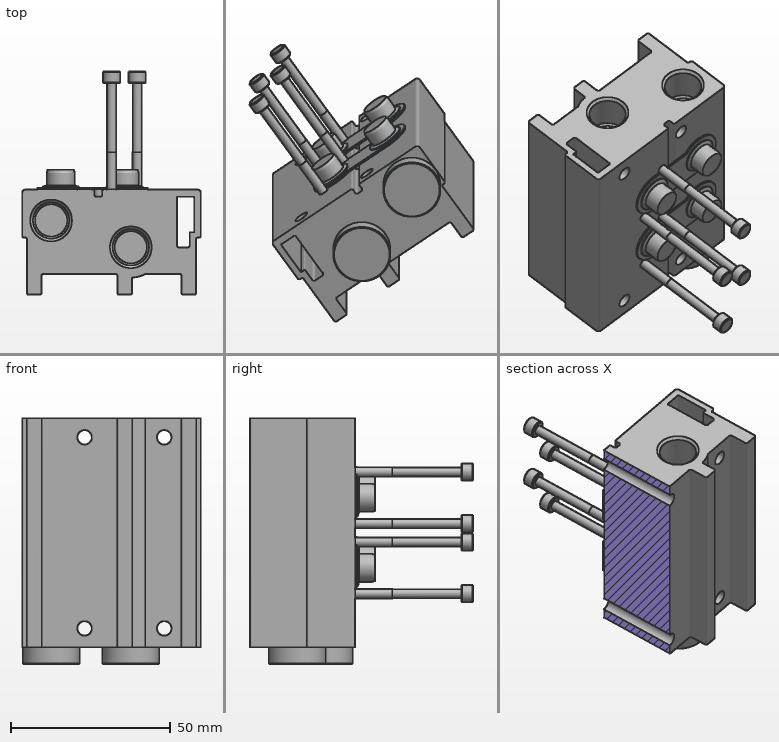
import cadquery as cq
import math


width = 56.1
depth = 33.05
height = 71.95

flank_step = 1.5
flank_step_y = 17.9
leg_length = 6.5
leg_width = 4.6
middle_leg_x = 29.9

back_fillet = 1.0
edge_fillet = 0.6
step_root_fillet = 0.5
bulge_root_fillet = 0.3

groove_x = 23.9
groove_width = 2.5
groove_depth = 2.3
groove_root_fillet = 0.6
groove_mouth_fillet = 0.4

slot_left = 48.6
slot_right = 54.05
slot_back = 30.7
slot_front = 14.9
slot_step_x = 52.6
slot_step_y = 19.7
slot_fillet = 0.3

port_axes = [(9.1, 23.3), (34.1, 14.9)]
port_mouth_dia = 13.1
port_dia = 11.4
port_floor_dia = 10.1
port_depth = 12.0
port_wall_radius = 9.6

fitting_dia = 18.0
fitting_height = 5.25
fitting_chamfer = 0.3

mount_dia = 4.5
mount_xs = [19.6, 44.6]
mount_zs = [5.95, 65.9]

connector_x = 32.1
connector_zs = [24.9, 46.9]
boss_shift_x = -20.0
boss_shift_z = 2.5
flange_dia = 14.7
flange_thickness = 0.55
ring_dia = 11.4
ring_edge = 0.85
ring_top = 1.3
boss_dia = 8.9
boss_top = 6.25
boss_chamfer_height = 1.0
boss_chamfer_width = 0.3
screw_notch_dia = 3.5

screw_offset_x = 4.0
screw_offset_z = 8.1
screw_head_dia = 5.5
screw_head_height = 3.7
screw_head_chamfer = 0.3
screw_shank_dia = 2.9
screw_thread_dia = 3.0
screw_top = 37.05
thread_top = 11.65
thread_depth = 6.6

screw_places = [
    (connector_x + side * screw_offset_x, z - side * screw_offset_z)
    for z in connector_zs
    for side in (-1, 1)
]


def cylinder_z(x, y, diameter, z_start, length):
    return cq.Workplane("XY", origin=(x, y, z_start)).circle(diameter / 2).extrude(length)


def cylinder_y(x, z, diameter, y_start, length):
    return cq.Workplane("XZ", origin=(x, y_start, z)).circle(diameter / 2).extrude(-length)


def round_upright_edges(body, radius, corners):
    """Fillet the full-height edges that stand on the given (x, y) corners."""
    tolerance = 0.01
    for x, y in corners:
        around_edge = cq.selectors.BoxSelector(
            (x - tolerance, y - tolerance, -0.8), (x + tolerance, y + tolerance, height + 0.8)
        )
        body = body.edges("|Z").edges(around_edge).fillet(radius)
    return body


def make_profile():
    inner_left = flank_step
    inner_right = width - flank_step
    leg_left = inner_left + leg_width
    leg_right = inner_right - leg_width
    middle_right = middle_leg_x + leg_width
    groove_left = groove_x - groove_width / 2
    groove_right = groove_x + groove_width / 2
    groove_floor = depth - groove_depth

    tips = [(x, 0) for x in (inner_left, leg_left, middle_leg_x, middle_right, leg_right, inner_right)]
    roots = [(x, leg_length) for x in (leg_left, middle_leg_x, leg_right)]
    bulge_root = (middle_right, leg_length)
    step_edges = [(0, flank_step_y), (width, flank_step_y)]
    step_roots = [(inner_left, flank_step_y), (inner_right, flank_step_y)]
    back_corners = [(0, depth), (width, depth)]
    groove_mouth = [(groove_left, depth), (groove_right, depth)]
    groove_roots = [(groove_left, groove_floor), (groove_right, groove_floor)]

    outline = [
        tips[0], tips[1], roots[0], roots[1], tips[2], tips[3], bulge_root, roots[2], tips[4], tips[5],
        step_roots[1], step_edges[1], back_corners[1],
        groove_mouth[1], groove_roots[1], groove_roots[0], groove_mouth[0],
        back_corners[0], step_edges[0], step_roots[0],
    ]
    body = cq.Workplane("XY").polyline(outline).close().extrude(height)
    body = round_upright_edges(body, edge_fillet, tips + roots + step_edges)
    body = round_upright_edges(body, step_root_fillet, step_roots)
    body = round_upright_edges(body, back_fillet, back_corners)
    body = round_upright_edges(body, groove_root_fillet, groove_roots)
    body = round_upright_edges(body, groove_mouth_fillet, groove_mouth)

    port_x, port_y = port_axes[1]
    bulge_end_x = port_x + math.sqrt(port_wall_radius**2 - (port_y - leg_length) ** 2)
    bulge_start_y = port_y - math.sqrt(port_wall_radius**2 - (middle_right - port_x) ** 2)
    bulge = (
        cq.Workplane("XY")
        .moveTo(middle_right, leg_length)
        .lineTo(middle_right, bulge_start_y)
        .radiusArc((bulge_end_x, leg_length), -port_wall_radius)
        .close()
        .extrude(height)
    )
    return round_upright_edges(body.union(bulge), bulge_root_fillet, [(middle_right, bulge_start_y)])


def make_slot():
    front_corners = [(slot_left, slot_front), (slot_step_x, slot_front)]
    step_corner = (slot_step_x, slot_step_y)
    back_corners = [(slot_right, slot_back), (slot_left, slot_back)]
    outline = front_corners + [step_corner, (slot_right, slot_step_y)] + back_corners
    slot = cq.Workplane("XY").polyline(outline).close().extrude(height)
    slot = round_upright_edges(slot, edge_fillet, front_corners)
    return round_upright_edges(slot, slot_fillet, [step_corner] + back_corners)


def make_port(x, y):
    """Blind bore from the top with a 45 degree mouth and a 45 degree cone at the floor."""
    mouth_chamfer = (port_mouth_dia - port_dia) / 2
    floor_chamfer = (port_dia - port_floor_dia) / 2
    bore = cylinder_z(x, y, port_dia, height - port_depth, port_depth).faces("<Z").chamfer(floor_chamfer)
    mouth = cq.Solid.makeCone(
        port_dia / 2, port_mouth_dia / 2, mouth_chamfer, pnt=cq.Vector(x, y, height - mouth_chamfer)
    )
    return bore.union(cq.Workplane(mouth))


def make_housing():
    body = make_profile().cut(make_slot())
    for x, y in port_axes:
        body = body.cut(make_port(x, y))
    for x in mount_xs:
        for z in mount_zs:
            body = body.cut(cylinder_y(x, z, mount_dia, 0, depth))
    for x, z in screw_places:
        body = body.cut(cylinder_y(x, z, screw_thread_dia, depth - thread_depth, thread_depth))
    return body


def make_fitting(x, y):
    """Round cap on the housing's bottom face, under a port."""
    cap = cylinder_z(x, y, fitting_dia, -fitting_height, fitting_height)
    return cap.faces("<Z").chamfer(fitting_chamfer)


def make_boss(x, z):
    flange = cylinder_y(x, z, flange_dia, depth, flange_thickness)
    cone_width = (ring_dia - boss_dia) / 2
    ring = (
        cylinder_y(x, z, ring_dia, depth, ring_top)
        .faces(">Y").chamfer(ring_top - ring_edge, cone_width)
    )
    boss = (
        cylinder_y(x, z, boss_dia, depth, boss_top)
        .faces(">Y").chamfer(boss_chamfer_height, boss_chamfer_width)
    )
    return flange.union(ring).union(boss)


def make_connector(z):
    """Two flanged bosses joined by a flat web, with a peg that locates in the groove."""
    left_x = connector_x + boss_shift_x
    left_z = z + boss_shift_z
    web_bottom = left_z - flange_dia / 2
    web_top = z + flange_dia / 2
    web = cq.Workplane("XY").box(
        -boss_shift_x, flange_thickness, web_top - web_bottom, centered=False
    ).translate((left_x, depth, web_bottom))
    for x, screw_z in screw_places:
        web = web.cut(cylinder_y(x, screw_z, screw_notch_dia, depth, flange_thickness))

    peg = (
        cylinder_y(groove_x, z + boss_shift_z / 2, groove_width, depth - groove_depth, groove_depth)
        .faces("<Y").edges().fillet(groove_root_fillet)
    )
    return make_boss(connector_x, z).union(make_boss(left_x, left_z)).union(web).union(peg)


def make_screw(x, z):
    head_bottom = screw_top - screw_head_height
    head = (
        cylinder_y(x, z, screw_head_dia, depth + head_bottom, screw_head_height)
        .edges().chamfer(screw_head_chamfer)
    )
    shank = cylinder_y(x, z, screw_shank_dia, depth + thread_top, head_bottom - thread_top)
    thread = cylinder_y(x, z, screw_thread_dia, depth - thread_depth, thread_depth + thread_top)
    return head.union(shank).union(thread)


housing = make_housing()
fittings = [make_fitting(x, y) for x, y in port_axes]
connectors = [make_connector(z) for z in connector_zs]
screws = [make_screw(x, z) for x, z in screw_places]

bodies = [housing] + fittings + connectors + screws
result = cq.Compound.makeCompound([body.solids().val() for body in bodies])